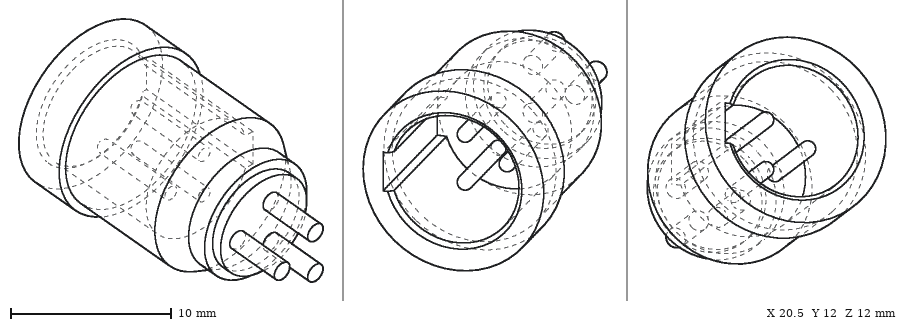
import cadquery as cq

collar_end = 3.8
body_end = 12.2
taper_end = 14.05
neck_end = 15.55
cap_end = 16.3
overall_length = 20.5

collar_diameter = 12.0
body_diameter = 10.9
neck_diameter = 8.55
cap_diameter = 7.2

bore_diameter = 8.5
bore_depth = 10.0
mouth_chamfer = 0.3

keyway_width = 2.6
keyway_reach = 4.67

pin_diameter = 1.0
pin_tip = 3.35
tail_diameter = 1.3
paired_contact_y = 0.6
paired_contact_z = 1.61
single_contact_y = -2.18
contact_positions = [
    (paired_contact_y, paired_contact_z),
    (paired_contact_y, -paired_contact_z),
    (single_contact_y, 0.0),
]


def rod(diameter, start, end, y, z):
    """Cylinder parallel to X between two axial stations."""
    return (
        cq.Workplane("YZ", origin=(start, y, z))
        .circle(diameter / 2)
        .extrude(end - start)
    )


def turned(outline):
    """Solid of revolution about X from (axial station, radius) points."""
    return cq.Workplane("XY").polyline(outline).close().revolve(360, (0, 0, 0), (1, 0, 0))


def make_shell():
    """Stepped outer body with a conical taper down to the neck."""
    outline = [
        (0, 0),
        (0, collar_diameter / 2),
        (collar_end, collar_diameter / 2),
        (collar_end, body_diameter / 2),
        (body_end, body_diameter / 2),
        (taper_end, neck_diameter / 2),
        (neck_end, neck_diameter / 2),
        (neck_end, cap_diameter / 2),
        (cap_end, cap_diameter / 2),
        (cap_end, 0),
    ]
    return turned(outline)


def make_socket():
    """Material removed for the bore, its chamfered mouth and the keyway."""
    bore_radius = bore_diameter / 2
    outline = [
        (0, 0),
        (0, bore_radius + mouth_chamfer),
        (mouth_chamfer, bore_radius),
        (bore_depth, bore_radius),
        (bore_depth, 0),
    ]
    bore = turned(outline)
    keyway = cq.Workplane("XY").box(
        bore_depth, keyway_reach, keyway_width, centered=(False, False, True)
    )
    return bore.union(keyway)


def make_contact(y, z):
    """Round-nosed pin that runs through the socket floor and ends in a solder tail."""
    nose_centre = pin_tip + pin_diameter / 2
    nose = cq.Workplane("XY").sphere(pin_diameter / 2).translate((nose_centre, y, z))
    shank = rod(pin_diameter, nose_centre, neck_end, y, z)
    tail = rod(tail_diameter, neck_end, overall_length, y, z)
    return nose.union(shank).union(tail)


result = make_shell().cut(make_socket())
for contact_y, contact_z in contact_positions:
    result = result.union(make_contact(contact_y, contact_z))